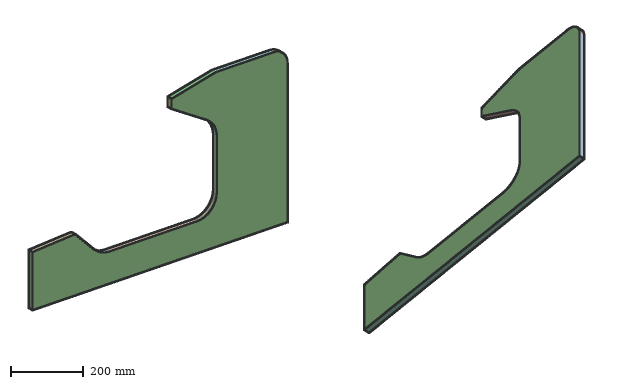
import cadquery as cq
import math

thickness = 18.0
length = 900.0
height = 540.0

spine_width = 250.0
slope_start = 254.0
jaw_reach = 410.0
jaw_tip_top = 505.0
jaw_tip_bottom = 473.0
jaw_angle = 30.0

arm_height = 100.0
toe_peak_from_back = 750.0
toe_peak_height = 190.0
toe_end_height = 180.0
toe_ramp_angle = 45.0

back_corner_radius = 49.5
throat_radius = 70.0

jaw_root_height = jaw_tip_bottom - (jaw_reach - spine_width) * math.tan(math.radians(jaw_angle))
toe_rise = toe_peak_height - arm_height
toe_root_from_back = toe_peak_from_back - toe_rise / math.tan(math.radians(toe_ramp_angle))

outline = [
    (0, 0),
    (0, height),
    (slope_start, height),
    (jaw_reach, jaw_tip_top),
    (jaw_reach, jaw_tip_bottom),
    (spine_width, jaw_root_height),
    (spine_width, arm_height),
    (toe_root_from_back, arm_height),
    (toe_peak_from_back, toe_peak_height),
    (length, toe_end_height),
    (length, 0),
]
throat_corners = [
    (spine_width, jaw_root_height),
    (spine_width, arm_height),
    (toe_root_from_back, arm_height),
]


def plate_point(from_back, above_base):
    """Place an outline point in Y and Z, centred on the origin."""
    return (length / 2 - from_back, above_base - height / 2)


def round_corner(plate, corner, radius):
    """Fillet the through-thickness edge at one outline corner."""
    y, z = plate_point(*corner)
    edge = plate.edges(cq.selectors.NearestToPointSelector((0, y, z)))
    return edge.fillet(radius)


plate = (
    cq.Workplane("YZ")
    .polyline([plate_point(*point) for point in outline])
    .close()
    .extrude(thickness / 2, both=True)
)
plate = round_corner(plate, (0, height), back_corner_radius)
for corner in throat_corners:
    plate = round_corner(plate, corner, throat_radius)

result = plate